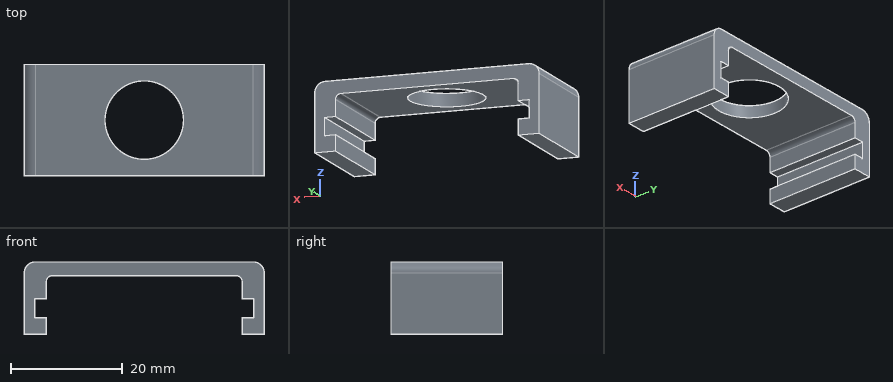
import cadquery as cq

length = 43.0
depth = 20.0
height = 13.0

leg_thickness = 4.0
top_thickness = 2.5
outer_radius = 2.0
inner_radius = 1.0

slot_bottom = 3.0
slot_height = 3.35
slot_depth = 2.1

hole_diameter = 14.0

channel_width = length - 2 * leg_thickness
channel_height = height - top_thickness
slot_span = channel_width + 2 * slot_depth


def block(width, bottom, block_height):
    """Box centred on X and Y, running the full depth of the part."""
    return (
        cq.Workplane("XY")
        .workplane(offset=bottom)
        .box(width, depth, block_height, centered=(True, True, False))
    )


def rounded_top_block(width, block_height, radius):
    """Block standing on Z = 0 with its two upper long edges rounded."""
    return block(width, 0, block_height).edges("|Y and >Z").fillet(radius)


def top_hole():
    """Cylinder at the centre of the part that pierces the top plate."""
    return cq.Workplane("XY").circle(hole_diameter / 2).extrude(height)


bracket = rounded_top_block(length, height, outer_radius)
bracket = bracket.cut(rounded_top_block(channel_width, channel_height, inner_radius))

bracket = bracket.cut(block(slot_span, slot_bottom, slot_height))

result = bracket.cut(top_hole())